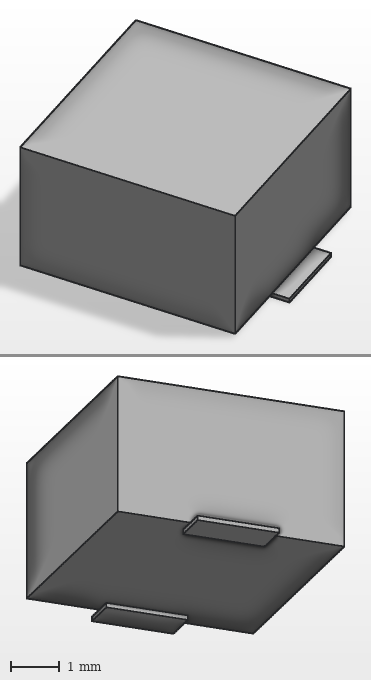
import cadquery as cq

overall_length = 5.8
body_side = 5.0
overall_height = 3.1

terminal_length = 0.8
terminal_width = 1.8
terminal_thickness = 0.1

body_height = overall_height - terminal_thickness
terminal_center_x = (overall_length - terminal_length) / 2


def make_body():
    """Plain square block standing on top of the terminals."""
    return (
        cq.Workplane("XY")
        .workplane(offset=terminal_thickness)
        .rect(body_side, body_side)
        .extrude(body_height)
    )


def make_terminal(side):
    """Flat terminal under the body edge; side is -1 for -X and +1 for +X."""
    return (
        cq.Workplane("XY")
        .center(side * terminal_center_x, 0)
        .rect(terminal_length, terminal_width)
        .extrude(terminal_thickness)
    )


body = make_body()
terminals = [make_terminal(side) for side in (-1, 1)]

result = cq.Compound.makeCompound([body.val(), *[terminal.val() for terminal in terminals]])